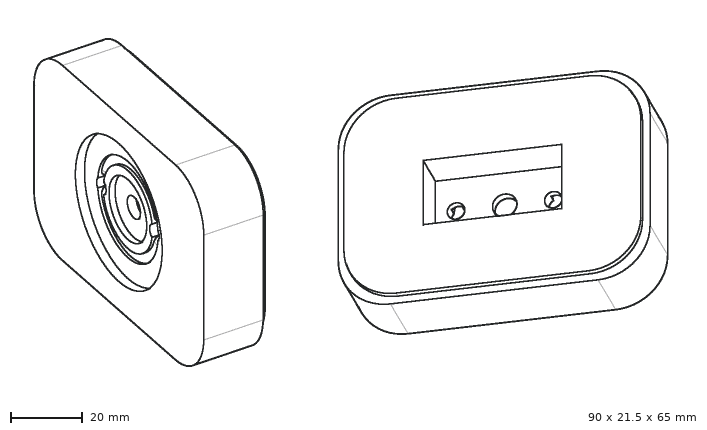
import cadquery as cq

body_length = 90.0
body_height = 65.0
body_depth = 19.5
corner_radius = 15.0

plate_inset = 2.2
plate_thickness = 2.0

recess_diameter = 46.0
recess_depth = 3.0
groove_outer_diameter = 32.0
groove_inner_diameter = 26.0
groove_depth = 1.0
pocket_diameter = 20.0
pocket_depth = 2.0
center_hole_diameter = 7.0

side_hole_diameter = 5.0
side_hole_offset = 14.0
mouth_radius = 2.0

back_pocket_width = 40.0
back_pocket_height = 20.0
center_wall = 3.0

total_depth = body_depth + plate_thickness
groove_floor = recess_depth + groove_depth
back_pocket_floor = recess_depth + pocket_depth + center_wall


def rounded_block(length, height, start, depth):
    """Block from Y = start to start + depth, with its four long edges along Y rounded."""
    block = cq.Workplane("XZ", origin=(0, start, 0)).rect(length, height).extrude(-depth)
    return block.edges("|Y").fillet(corner_radius)


def disc(diameter, start, depth, x=0):
    """Cylinder along +Y from Y = start."""
    return cq.Workplane("XZ", origin=(x, start, 0)).circle(diameter / 2).extrude(-depth)


def groove_ring(depth):
    """Ring below the recess floor with the width of the groove."""
    outer = disc(groove_outer_diameter, recess_depth, depth)
    return outer.cut(disc(groove_inner_diameter, recess_depth, depth))


def hole_mouth(x):
    """Flare that rounds the edge between a side hole and the groove floor, within the groove width."""
    hole_radius = side_hole_diameter / 2
    mouth_end = groove_floor + mouth_radius
    flare = (
        cq.Workplane("XY", origin=(x, 0, 0))
        .moveTo(0, groove_floor)
        .lineTo(hole_radius + mouth_radius, groove_floor)
        .radiusArc((hole_radius, mouth_end), mouth_radius)
        .lineTo(0, mouth_end)
        .close()
        .revolve(360, (0, 0, 0), (0, 1, 0))
    )
    return flare.intersect(groove_ring(groove_depth + mouth_radius))


result = rounded_block(body_length, body_height, 0, body_depth)
plate = rounded_block(
    body_length - 2 * plate_inset,
    body_height - 2 * plate_inset,
    body_depth,
    plate_thickness,
)
result = result.union(plate)

result = result.cut(disc(recess_diameter, 0, recess_depth))
result = result.cut(groove_ring(groove_depth))
result = result.cut(disc(pocket_diameter, recess_depth, pocket_depth))
result = result.cut(disc(center_hole_diameter, 0, total_depth))

back_pocket = (
    cq.Workplane("XZ", origin=(0, back_pocket_floor, 0))
    .rect(back_pocket_width, back_pocket_height)
    .extrude(-(total_depth - back_pocket_floor))
)
result = result.cut(back_pocket)

for hole_x in (-side_hole_offset, side_hole_offset):
    result = result.cut(disc(side_hole_diameter, 0, total_depth, hole_x))
    result = result.cut(hole_mouth(hole_x))